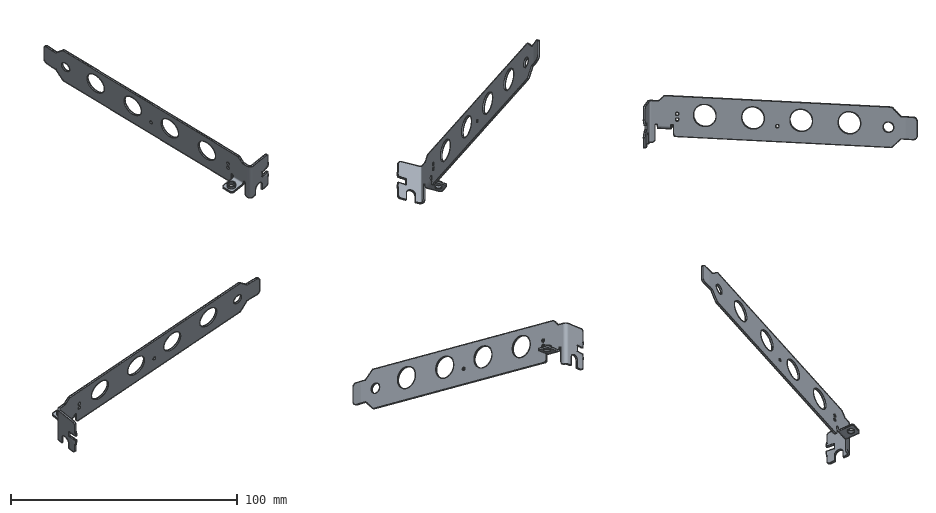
import cadquery as cq
import math


thickness = 0.86
length = 120.87
overall_depth = 19.81
plate_height = 18.42
mid_z = plate_height / 2

tongue_width = 10.19
tongue_length = 7.3
tongue_corner_radius = 1.8
tongue_bend_x = 5.1
tongue_bend_radius = 3.5
tongue_angle = math.radians(4)

flange_height = 19.05
upper_step_height = 2.54
flange_top = plate_height - upper_step_height
flange_bottom = flange_top - flange_height
flange_end_y = 11.95
flange_bend_radius = 1.65
flange_corner_radius = 1.3
foot_corner_radius = 1.3
upper_step_x = 116.15

screw_slot_width = 4.42
screw_slot_y = 5.8
screw_slot_top = 2.4

notch_width = 2.84
notch_z = 6.03
notch_depth = 3.85
lug_end_y = 12.3
lug_width = 2.65
lug_angle = 11

tab_center_x = 113.75
tab_width = 5.9
tab_end_y = lug_end_y - overall_depth
tab_bottom = 3.0
tab_bend_radius = 0.7
tab_corner_radius = 1.0
collar_y = -4.6
collar_diameter = 3.89
collar_height = 1.15
tap_diameter = 3.17

opening_left = 109.4
opening_right = 117.8
opening_top = 4.7
opening_corner_radius = 1.0

tongue_hole_diameter = 4.75
tongue_hole_x = 12.96
port_diameter = 10.15
port_first_x = 30.48
port_pitch = 21.64
port_count = 4
port_z = 10.3
pin_diameter = 1.5
pin_places = [(62.85, 7.1), (107.8, 10.35), (107.8, 7.8)]


def bent_strip():
    """Cross-section seen along Z (tongue, plate, flange), extruded over the full height."""
    outer_tongue = tongue_bend_radius
    inner_tongue = tongue_bend_radius - thickness
    inner_flange = flange_bend_radius - thickness
    flange_bend_x = length - flange_bend_radius

    def tongue_point(radius, angle):
        x = tongue_bend_x - radius * math.sin(angle)
        return x, tongue_bend_radius - radius * math.cos(angle)

    def flange_point(radius, angle):
        x = flange_bend_x + radius * math.sin(angle)
        return x, flange_bend_radius - radius * math.cos(angle)

    def tip_point(radius):
        x, y = tongue_point(radius, tongue_angle)
        return 0, y + x * math.tan(tongue_angle)

    half_tongue = tongue_angle / 2
    quarter = math.pi / 2
    eighth = math.pi / 4
    return (
        cq.Workplane("XY", origin=(0, 0, flange_bottom))
        .moveTo(*tip_point(outer_tongue))
        .lineTo(*tongue_point(outer_tongue, tongue_angle))
        .threePointArc(tongue_point(outer_tongue, half_tongue), tongue_point(outer_tongue, 0))
        .lineTo(*flange_point(flange_bend_radius, 0))
        .threePointArc(flange_point(flange_bend_radius, eighth), flange_point(flange_bend_radius, quarter))
        .lineTo(length, flange_end_y)
        .lineTo(length - thickness, flange_end_y)
        .lineTo(*flange_point(inner_flange, quarter))
        .threePointArc(flange_point(inner_flange, eighth), flange_point(inner_flange, 0))
        .lineTo(*tongue_point(inner_tongue, 0))
        .threePointArc(tongue_point(inner_tongue, half_tongue), tongue_point(inner_tongue, tongue_angle))
        .lineTo(*tip_point(inner_tongue))
        .close()
        .extrude(plate_height - flange_bottom)
    )


def front_outline():
    """Outline of the plate and bends seen along Y, as a block deep enough to trim the bent strip."""
    tongue_low = mid_z - tongue_width / 2
    tongue_high = mid_z + tongue_width / 2
    shoulder_x = tongue_length + tongue_low
    points = [
        (0, tongue_low),
        (tongue_length, tongue_low),
        (shoulder_x, 0),
        (opening_left, 0),
        (opening_left, opening_top),
        (opening_right, opening_top),
        (opening_right, flange_bottom),
        (length, flange_bottom),
        (length, flange_top),
        (upper_step_x, flange_top),
        (upper_step_x - upper_step_height, plate_height),
        (shoulder_x, plate_height),
        (tongue_length, tongue_high),
        (0, tongue_high),
    ]
    block = cq.Workplane("XZ", origin=(0, lug_end_y, 0)).polyline(points).close().extrude(2 * lug_end_y)

    def round_corner(body, x, z, radius):
        corner_edge = cq.selectors.NearestToPointSelector((x, 0, z))
        return body.edges("|Y").edges(corner_edge).fillet(radius)

    block = round_corner(block, 0, tongue_low, tongue_corner_radius)
    block = round_corner(block, 0, tongue_high, tongue_corner_radius)
    block = round_corner(block, opening_left, 0, opening_corner_radius)
    block = round_corner(block, opening_right, flange_bottom, foot_corner_radius)
    return block


def cylinder_along_y(x, z, diameter):
    """Cylinder passing right through the plate at the given X and Z."""
    return cq.Workplane("XZ", origin=(x, lug_end_y, z)).circle(diameter / 2).extrude(2 * lug_end_y)


def plate_holes():
    """Tongue hole, row of port holes and small pin holes."""
    holes = cylinder_along_y(tongue_hole_x, mid_z, tongue_hole_diameter)
    for index in range(port_count):
        holes = holes.union(cylinder_along_y(port_first_x + index * port_pitch, port_z, port_diameter))
    for x, z in pin_places:
        holes = holes.union(cylinder_along_y(x, z, pin_diameter))
    return holes


def tab_reliefs():
    """Rounded tops of the gaps between the tab and the plate on either side of it."""
    tab_left = tab_center_x - tab_width / 2
    tab_right = tab_center_x + tab_width / 2
    left_relief = cylinder_along_y((opening_left + tab_left) / 2, opening_top, tab_left - opening_left)
    right_relief = cylinder_along_y((tab_right + opening_right) / 2, opening_top, opening_right - tab_right)
    return left_relief.union(right_relief)


def threaded_tab():
    """Tab bent forwards below the plate, with a raised collar around its tapped hole."""
    tab_top = tab_bottom + thickness
    outer_radius = tab_bend_radius + thickness
    bend_z = tab_top + tab_bend_radius
    bend_y = -tab_bend_radius
    diagonal = math.sqrt(0.5)
    tab = (
        cq.Workplane("YZ", origin=(tab_center_x - tab_width / 2, 0, 0))
        .moveTo(0, opening_top)
        .lineTo(0, bend_z)
        .threePointArc(
            (bend_y + tab_bend_radius * diagonal, bend_z - tab_bend_radius * diagonal),
            (bend_y, tab_top),
        )
        .lineTo(tab_end_y, tab_top)
        .lineTo(tab_end_y, tab_bottom)
        .lineTo(bend_y, tab_bottom)
        .threePointArc(
            (bend_y + outer_radius * diagonal, bend_z - outer_radius * diagonal),
            (thickness, bend_z),
        )
        .lineTo(thickness, opening_top)
        .close()
        .extrude(tab_width)
    )
    tab = tab.faces("<Y").edges("|Z").fillet(tab_corner_radius)
    tab_plane = cq.Workplane("XY", origin=(tab_center_x, collar_y, tab_bottom))
    collar = tab_plane.circle(collar_diameter / 2).extrude(thickness + collar_height)
    tap_hole = tab_plane.circle(tap_diameter / 2).extrude(thickness + collar_height)
    return tab.union(collar).cut(tap_hole)


def flange_cutout(points):
    """Block through the flange wall with the given outline in Y and Z."""
    return cq.Workplane("YZ", origin=(length - thickness, 0, 0)).polyline(points).close().extrude(thickness)


def screw_slot():
    """Round-topped slot through the flange wall, open at the bottom."""
    radius = screw_slot_width / 2
    arc_z = screw_slot_top - radius
    return (
        cq.Workplane("YZ", origin=(length - thickness, 0, 0))
        .moveTo(screw_slot_y - radius, flange_bottom)
        .lineTo(screw_slot_y - radius, arc_z)
        .threePointArc((screw_slot_y, screw_slot_top), (screw_slot_y + radius, arc_z))
        .lineTo(screw_slot_y + radius, flange_bottom)
        .close()
        .extrude(thickness)
    )


def lug_outline(side):
    """Triangle from the notch root to the flange end; side is +1 above the notch, -1 below."""
    root_y = flange_end_y - notch_depth
    edge_z = notch_z + side * notch_width / 2
    return [(root_y, edge_z), (lug_end_y, edge_z), (lug_end_y, edge_z + side * lug_width)]


def folded_lug(side):
    """Lug turned towards -X about its sloping fold line on the outer face of the flange."""
    root, _, far_corner = lug_outline(side)
    lug = flange_cutout(lug_outline(side))
    return lug.rotate((length, *root), (length, *far_corner), side * lug_angle)


def add_flange_details(body):
    """Round the flange corners, cut its slot and notch, and fold the lugs beside the notch."""
    body = body.faces(">Y").edges("|X").fillet(flange_corner_radius)
    body = body.cut(screw_slot())
    root_y = flange_end_y - notch_depth
    low_z = notch_z - notch_width / 2
    high_z = notch_z + notch_width / 2
    notch = [(root_y, low_z), (lug_end_y, low_z), (lug_end_y, high_z), (root_y, high_z)]
    body = body.cut(flange_cutout(notch))
    for side in (1, -1):
        body = body.cut(flange_cutout(lug_outline(side))).union(folded_lug(side))
    return body


bracket = bent_strip().intersect(front_outline())
bracket = add_flange_details(bracket)
bracket = bracket.cut(plate_holes()).cut(tab_reliefs())
result = bracket.union(threaded_tab())